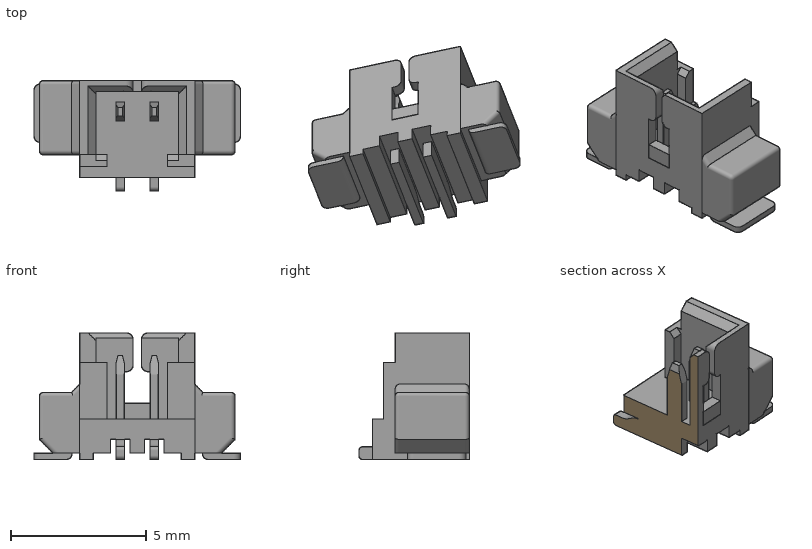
import cadquery as cq
import math

SPAN = 7.65

HOUSING_WIDTH = 4.27
HOUSING_DEPTH = 3.6
HOUSING_HEIGHT = 4.7
FLOOR_Z = 1.51
STANDOFF = 0.24
FOOT_WIDTH = 0.51
WALL_DEPTH = 2.755
POST_DEPTH = 0.435
POST_TOP_Z = 3.6
POST_HALF_GAP = 1.12
POST_BEVEL = 0.21

CAVITY_HALF_WIDTH = 1.53
REAR_WALL = 0.41
REAR_BEVEL = 0.2
SIDE_BEVEL = 0.29
BEVEL_ANGLE = 45

SLOT_WIDTH = 0.3
SLOT_CORNER_RADIUS = 0.26
WINDOW_HALF_WIDTH = 0.505
WINDOW_BOTTOM_Z = 2.095
WINDOW_TOP_Z = 3.25
SILL_SETBACK = 0.015

WING_TIP_X = 3.625
WING_TOP_Z = 2.495
WING_SLOPE = 0.3
WING_UNDERCUT = 0.51
WING_SETBACK = 0.01
WING_RADIUS = 0.15

TAB_THICKNESS = STANDOFF
TAB_INNER_X = 2.41
TAB_DEPTH = 2.17
TAB_SETBACK = 0.13
TAB_CORNER_RADIUS = 0.24
TAB_BEND_RADIUS = 0.23

PITCH = 1.26
PIN_WIDTH = 0.33
PIN_DEPTH = 0.72
PIN_SETBACK = 0.795
PIN_TOP_Z = 3.85
PIN_TIP_WIDTH = 0.17
PIN_TIP_DEPTH = 0.31
PIN_SIDE_TAPER = 0.31
PIN_FACE_TAPER = 0.71
PIN_EDGE_CHAMFER = 0.02
GROOVE_WIDTH = 0.71
GROOVE_TOP_Z = 0.75
LEG_REACH = 0.5
LEG_HEIGHT = 0.48
LEG_END_RADIUS = 0.145
LEG_BEND_END = 0.07
LEG_BEND_RADIUS = 0.57
LEG_BEND_ANGLE = math.radians(30)

HALF_WIDTH = HOUSING_WIDTH / 2
WALL_FRONT_Y = HOUSING_DEPTH - WALL_DEPTH
POST_FRONT_Y = WALL_FRONT_Y - POST_DEPTH
CAVITY_REAR_Y = HOUSING_DEPTH - REAR_WALL
PIN_REAR_Y = HOUSING_DEPTH - PIN_SETBACK
CONTACT_X = (-PITCH / 2, PITCH / 2)


def block(x0, x1, y0, y1, z0, z1):
    """Axis-aligned box between the given limits."""
    return cq.Workplane("XY").box(x1 - x0, y1 - y0, z1 - z0, centered=False).translate((x0, y0, z0))


def both_sides(right_half):
    """The given solid together with its mirror image across X = 0."""
    return right_half.union(right_half.mirror("YZ"))


def extrude_along_y(sketch, y0, y1):
    """Extrude a closed XZ outline, drawn on the plane Y = 0, from y0 to y1."""
    return sketch.extrude(-(y1 - y0)).translate((0, y0, 0))


def housing_shell():
    """Stepped block with its cavity open at the front and the top."""
    shell = (
        cq.Workplane("YZ")
        .moveTo(0, 0)
        .lineTo(HOUSING_DEPTH, 0)
        .lineTo(HOUSING_DEPTH, HOUSING_HEIGHT)
        .lineTo(WALL_FRONT_Y, HOUSING_HEIGHT)
        .lineTo(WALL_FRONT_Y, POST_TOP_Z)
        .lineTo(POST_FRONT_Y, POST_TOP_Z)
        .lineTo(POST_FRONT_Y, FLOOR_Z)
        .lineTo(0, FLOOR_Z)
        .close()
        .extrude(HALF_WIDTH, both=True)
    )
    cavity = block(-CAVITY_HALF_WIDTH, CAVITY_HALF_WIDTH, WALL_FRONT_Y, CAVITY_REAR_Y, FLOOR_Z, HOUSING_HEIGHT)
    front_gap = block(-POST_HALF_GAP, POST_HALF_GAP, 0, WALL_FRONT_Y, FLOOR_Z, HOUSING_HEIGHT)
    return shell.cut(cavity).cut(front_gap)


def cavity_bevel():
    """Frustum whose sloping flanks bevel the rear and side walls and meet in mitred corners."""
    top_half_width = CAVITY_HALF_WIDTH + SIDE_BEVEL
    top_rear_y = CAVITY_REAR_Y + REAR_BEVEL
    return (
        cq.Workplane("XY", origin=(0, top_rear_y / 2, HOUSING_HEIGHT))
        .rect(2 * top_half_width, top_rear_y)
        .extrude(-SIDE_BEVEL, taper=BEVEL_ANGLE)
    )


def post_bevels():
    """Wedges that bevel the top rear edges of the two front posts, inside the cavity."""
    wedge = (
        cq.Workplane("YZ", origin=(POST_HALF_GAP, 0, 0))
        .moveTo(WALL_FRONT_Y, POST_TOP_Z)
        .lineTo(WALL_FRONT_Y - POST_BEVEL, POST_TOP_Z)
        .lineTo(WALL_FRONT_Y, POST_TOP_Z - POST_BEVEL)
        .close()
        .extrude(CAVITY_HALF_WIDTH - POST_HALF_GAP)
    )
    return both_sides(wedge)


def rear_opening():
    """Window in the rear wall, joined to the top by a narrow slot with rounded lips."""
    slot_half = SLOT_WIDTH / 2
    lip_x = slot_half + SLOT_CORNER_RADIUS
    r = SLOT_CORNER_RADIUS
    mid = r * (1 - math.sqrt(0.5))
    half = (
        cq.Workplane("XZ")
        .moveTo(0, WINDOW_BOTTOM_Z)
        .lineTo(WINDOW_HALF_WIDTH, WINDOW_BOTTOM_Z)
        .lineTo(WINDOW_HALF_WIDTH, WINDOW_TOP_Z)
        .lineTo(lip_x, WINDOW_TOP_Z)
        .threePointArc((slot_half + mid, WINDOW_TOP_Z + mid), (slot_half, WINDOW_TOP_Z + r))
        .lineTo(slot_half, HOUSING_HEIGHT - r)
        .threePointArc((slot_half + mid, HOUSING_HEIGHT - mid), (lip_x, HOUSING_HEIGHT))
        .lineTo(0, HOUSING_HEIGHT)
        .close()
    )
    opening = both_sides(extrude_along_y(half, CAVITY_REAR_Y, HOUSING_DEPTH))
    sill = block(
        -WINDOW_HALF_WIDTH, WINDOW_HALF_WIDTH,
        HOUSING_DEPTH - SILL_SETBACK, HOUSING_DEPTH,
        FLOOR_Z, WINDOW_BOTTOM_Z,
    )
    return opening.union(sill)


def underside_recess():
    """Clearance between the feet, with a deeper groove around each contact leg."""
    recess = block(-HALF_WIDTH + FOOT_WIDTH, HALF_WIDTH - FOOT_WIDTH, 0, HOUSING_DEPTH, 0, STANDOFF)
    for x in CONTACT_X:
        groove = block(x - GROOVE_WIDTH / 2, x + GROOVE_WIDTH / 2, 0, HOUSING_DEPTH, 0, GROOVE_TOP_Z)
        recess = recess.union(groove)
    return recess


def right_wing():
    """Side block over the solder tab, sloped up to the housing and rounded on its outer edges."""
    slope_foot_x = HALF_WIDTH + WING_SLOPE
    rear_y = HOUSING_DEPTH - WING_SETBACK
    outline = (
        cq.Workplane("XZ")
        .moveTo(HALF_WIDTH, STANDOFF)
        .lineTo(WING_TIP_X - WING_UNDERCUT, STANDOFF)
        .lineTo(WING_TIP_X, STANDOFF + WING_UNDERCUT)
        .lineTo(WING_TIP_X, WING_TOP_Z)
        .lineTo(slope_foot_x, WING_TOP_Z)
        .lineTo(HALF_WIDTH, WING_TOP_Z + WING_SLOPE)
        .close()
    )
    wing = extrude_along_y(outline, rear_y - WALL_DEPTH, rear_y)
    front_and_rear_edges = wing.faces("<Y or >Y").edges("not(<X or <Z)")
    tip_top_edge = wing.edges("|Y and >X").edges(">Z")
    return front_and_rear_edges.add(tip_top_edge).fillet(WING_RADIUS)


def right_tab():
    """Flat solder tab with rounded outer corners and a bend at its inner lower edge."""
    rear_y = HOUSING_DEPTH - TAB_SETBACK
    tab = block(TAB_INNER_X, SPAN / 2, rear_y - TAB_DEPTH, rear_y, 0, TAB_THICKNESS)
    tab = tab.edges("|Z and >X").fillet(TAB_CORNER_RADIUS)
    return tab.edges("|Y and <X and <Z").fillet(TAB_BEND_RADIUS)


def tapered_profile(plane, center, width, tip_width, taper):
    """Long prism with a pointed outline, as seen along one side of a pin."""
    return (
        cq.Workplane(plane)
        .moveTo(center - width / 2, GROOVE_TOP_Z)
        .lineTo(center + width / 2, GROOVE_TOP_Z)
        .lineTo(center + width / 2, PIN_TOP_Z - taper)
        .lineTo(center + tip_width / 2, PIN_TOP_Z)
        .lineTo(center - tip_width / 2, PIN_TOP_Z)
        .lineTo(center - width / 2, PIN_TOP_Z - taper)
        .close()
        .extrude(SPAN, both=True)
    )


def pin():
    """Upright rectangular pin at X = 0, pointed on all four sides."""
    front_y = PIN_REAR_Y - PIN_DEPTH
    post = block(-PIN_WIDTH / 2, PIN_WIDTH / 2, front_y, PIN_REAR_Y, GROOVE_TOP_Z, PIN_TOP_Z)
    post = post.edges("|Z").chamfer(PIN_EDGE_CHAMFER)
    side_taper = tapered_profile("XZ", 0, PIN_WIDTH, PIN_TIP_WIDTH, PIN_SIDE_TAPER)
    face_taper = tapered_profile("YZ", PIN_REAR_Y - PIN_DEPTH / 2, PIN_DEPTH, PIN_TIP_DEPTH, PIN_FACE_TAPER)
    return post.intersect(side_taper).intersect(face_taper)


def leg():
    """Solder leg at X = 0: its top leaves the groove roof through a reversed bend and ends rounded."""
    bend_run = LEG_BEND_RADIUS * math.sin(LEG_BEND_ANGLE)
    bend_rise = LEG_BEND_RADIUS * (1 - math.cos(LEG_BEND_ANGLE))
    half_run = LEG_BEND_RADIUS * math.sin(LEG_BEND_ANGLE / 2)
    half_rise = LEG_BEND_RADIUS * (1 - math.cos(LEG_BEND_ANGLE / 2))
    slope_rise = GROOVE_TOP_Z - LEG_HEIGHT - 2 * bend_rise
    slope_run = slope_rise / math.tan(LEG_BEND_ANGLE)
    lower_y = -LEG_BEND_END
    upper_y = lower_y + 2 * bend_run + slope_run
    profile = (
        cq.Workplane("YZ")
        .moveTo(-LEG_REACH, 0)
        .lineTo(PIN_REAR_Y, 0)
        .lineTo(PIN_REAR_Y, GROOVE_TOP_Z)
        .lineTo(upper_y, GROOVE_TOP_Z)
        .threePointArc(
            (upper_y - half_run, GROOVE_TOP_Z - half_rise),
            (upper_y - bend_run, GROOVE_TOP_Z - bend_rise),
        )
        .lineTo(lower_y + bend_run, LEG_HEIGHT + bend_rise)
        .threePointArc((lower_y + half_run, LEG_HEIGHT + half_rise), (lower_y, LEG_HEIGHT))
        .lineTo(-LEG_REACH, LEG_HEIGHT)
        .close()
    )
    return profile.extrude(PIN_WIDTH / 2, both=True).edges("|X and <Y").fillet(LEG_END_RADIUS)


housing = (
    housing_shell()
    .cut(cavity_bevel())
    .cut(post_bevels())
    .cut(rear_opening())
    .cut(underside_recess())
)
result = housing.union(both_sides(right_wing())).union(both_sides(right_tab()))
contact = pin().union(leg())
for contact_x in CONTACT_X:
    result = result.union(contact.translate((contact_x, 0, 0)))